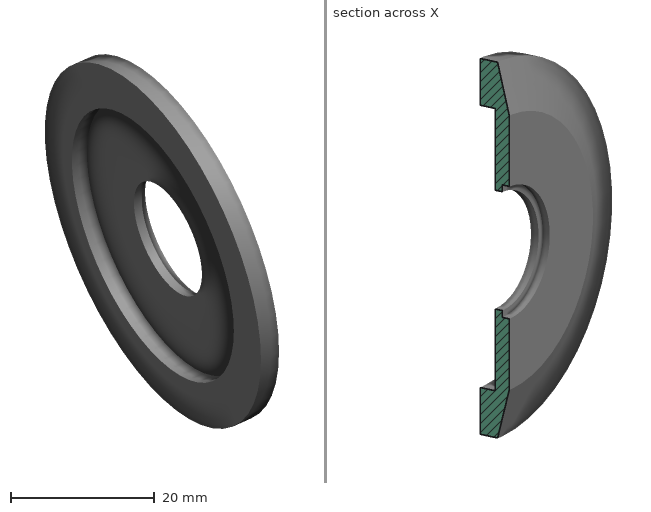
import math

import cadquery as cq

outer_diameter = 55.0
thickness = 5.0
rim_thickness = 3.0
taper_angle = 15.0
recess_diameter = 41.2
recess_depth = 2.5
bore_diameter = 17.3
counterbore_diameter = 19.3
counterbore_depth = 1.2

front_y = -thickness / 2
back_y = thickness / 2
taper_height = thickness - rim_thickness
taper_width = taper_height / math.tan(math.radians(taper_angle))
back_face_diameter = outer_diameter - 2 * taper_width


def disc(diameter, start_y, length):
    """Solid cylinder along +Y that begins at start_y."""
    start_plane = cq.Plane(origin=(0, start_y, 0), xDir=(1, 0, 0), normal=(0, 1, 0))
    return cq.Workplane(start_plane).circle(diameter / 2).extrude(length)


def tapered_body():
    """Disc with a straight rim and a shallow cone narrowing to the back face."""
    rim_y = front_y + rim_thickness
    half_profile = (
        cq.Workplane("XY")
        .moveTo(0, front_y)
        .lineTo(outer_diameter / 2, front_y)
        .lineTo(outer_diameter / 2, rim_y)
        .lineTo(back_face_diameter / 2, back_y)
        .lineTo(0, back_y)
        .close()
    )
    return half_profile.revolve(360, (0, 0, 0), (0, 1, 0))


front_recess = disc(recess_diameter, front_y, recess_depth)
bore = disc(bore_diameter, front_y, thickness)
back_counterbore = disc(counterbore_diameter, back_y - counterbore_depth, counterbore_depth)

result = tapered_body().cut(front_recess).cut(bore).cut(back_counterbore)